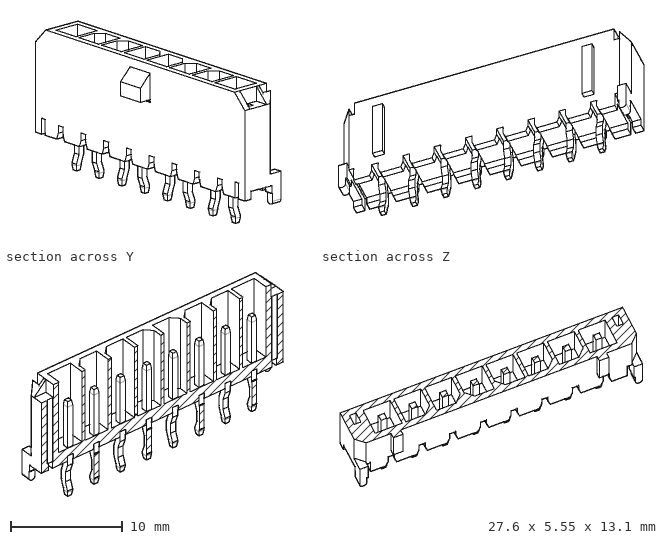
import cadquery as cq

BODY_LENGTH = 27.65
BODY_DEPTH = 3.9
BODY_HEIGHT = 9.9
REAR_REACH = 0.5

CAVITY_KEYS = (0, -1, -1, 1, 1, -1, -1, 0)
PIN_SPAN = 21.01
PIN_PITCH = PIN_SPAN / (len(CAVITY_KEYS) - 1)
PIN_Y = BODY_DEPTH / 2
PIN_SIZE = 0.6
PIN_TIP_SIZE = 0.45
PIN_TOP = 7.2
PIN_BOTTOM = -3.18
PIN_TAPER = 0.53
PIN_KINK = 0.3
KINK_LEVELS = (0.25, -0.6, -1.65, -2.52)
CAVITY_SIZE = 2.6
CAVITY_FLOOR = 2.2
CAVITY_CHAMFER = 0.72

END_LENGTH = 1.35
END_SLOPE_HEIGHT = 1.4
END_FLOOR = BODY_HEIGHT - END_SLOPE_HEIGHT
POCKET_FRONT = 0.64
POCKET_DEPTH = 2.02
WINDOW_LENGTH = 0.6
WINDOW_DEPTH = 1.0
WINDOW_INSET = 0.05
CORNER_CHAMFER = 0.83
REAR_NOTCH_LENGTH = END_LENGTH - CORNER_CHAMFER
REAR_NOTCH_DEPTH = 0.95
SLOT_OFFSET = 0.83
SLOT_WIDTH = 0.45
SLOT_HEIGHT = 1.5

FRONT_FOOT_DEPTH = 0.77
REAR_FOOT_DEPTH = 0.6
CHANNEL_HEIGHT = 0.75
PIN_NOTCH_BOTTOM = 1.02
PIN_NOTCH_HEIGHT = 1.33
PIN_NOTCH_FLARE = 0.6

PEG_TOP = 1.88
PEG_BOTTOM = -1.08
PEG_WIDTH = 0.7
PEG_DEPTH = 1.02
RIB_X = 10.06
RIB_WIDTH = 0.97
RIB_BOTTOM = 2.2
RIB_TOP = 8.25

LATCH_WIDTH = 2.63
LATCH_REACH = 1.15
LATCH_BOTTOM = 6.58
LATCH_NOSE_TOP = 7.9
LATCH_TOP = 9.07
LATCH_RELIEF_HEIGHT = 0.25
LATCH_RELIEF_DEPTH = 0.25

END_X = BODY_LENGTH / 2
REAR_Y = BODY_DEPTH + REAR_REACH


def block(x_range, y_range, z_range):
    """Box filling the given coordinate ranges."""
    sizes = [high - low for low, high in (x_range, y_range, z_range)]
    corner = (x_range[0], y_range[0], z_range[0])
    return cq.Workplane("XY").box(*sizes, centered=False).translate(corner)


def extrude_y(points, y_front, y_rear):
    """Prism along y from an outline of (x, z) points."""
    sketch = cq.Workplane("XZ", origin=(0, y_front, 0)).polyline(points).close()
    return sketch.extrude(y_front - y_rear)


def extrude_x(points, x_middle, width):
    """Prism along x, centred on x_middle, from an outline of (y, z) points."""
    sketch = cq.Workplane("YZ", origin=(x_middle, 0, 0)).polyline(points).close()
    return sketch.extrude(width / 2, both=True)


def body_shell():
    """Block with sloped upper ends."""
    shoulder = END_X - END_LENGTH
    outline = [
        (-END_X, 0),
        (END_X, 0),
        (END_X, END_FLOOR),
        (shoulder, BODY_HEIGHT),
        (-shoulder, BODY_HEIGHT),
        (-END_X, END_FLOOR),
    ]
    return extrude_y(outline, 0, BODY_DEPTH)


def left_end_cuts():
    """Pocket, window, rear notch and rear corner chamfer of the left end."""
    inner = -END_X + END_LENGTH
    pocket = block(
        (-END_X, inner),
        (POCKET_FRONT, POCKET_FRONT + POCKET_DEPTH),
        (END_FLOOR, BODY_HEIGHT),
    )
    window = block(
        (inner - WINDOW_INSET - WINDOW_LENGTH, inner - WINDOW_INSET),
        (POCKET_FRONT, POCKET_FRONT + WINDOW_DEPTH),
        (SLOT_HEIGHT, BODY_HEIGHT),
    )
    rear_notch = block(
        (inner - REAR_NOTCH_LENGTH, inner),
        (BODY_DEPTH - REAR_NOTCH_DEPTH, BODY_DEPTH),
        (END_FLOOR, BODY_HEIGHT),
    )
    corner = (
        cq.Workplane("XY", origin=(0, 0, PEG_TOP))
        .moveTo(-END_X, BODY_DEPTH)
        .lineTo(-END_X + CORNER_CHAMFER, BODY_DEPTH)
        .lineTo(-END_X, BODY_DEPTH - CORNER_CHAMFER)
        .close()
        .extrude(BODY_HEIGHT - PEG_TOP)
    )
    return pocket.union(window).union(rear_notch).union(corner)


def left_slot():
    """Slot through the whole depth that frees the peg from the housing."""
    left = -END_X + SLOT_OFFSET
    return block((left, left + SLOT_WIDTH), (0, REAR_Y), (0, SLOT_HEIGHT))


def left_peg():
    """Rear mounting peg with a round end, widened above the board line."""
    root = block((-END_X, -END_X + SLOT_OFFSET), (BODY_DEPTH, REAR_Y), (0, PEG_TOP))
    radius = PEG_WIDTH / 2
    peg = (
        cq.Workplane("XZ", origin=(0, REAR_Y, 0))
        .moveTo(-END_X, 0)
        .lineTo(-END_X, PEG_BOTTOM + radius)
        .threePointArc((-END_X + radius, PEG_BOTTOM), (-END_X + PEG_WIDTH, PEG_BOTTOM + radius))
        .lineTo(-END_X + PEG_WIDTH, 0)
        .close()
        .extrude(PEG_DEPTH)
    )
    return root.union(peg)


def on_both_ends(shape):
    """The shape together with its mirror image at the right end."""
    return shape.union(shape.mirror("YZ"))


def rear_rib(x):
    """Upright rib on the rear wall."""
    return block((x - RIB_WIDTH / 2, x + RIB_WIDTH / 2), (BODY_DEPTH, REAR_Y), (RIB_BOTTOM, RIB_TOP))


def latch():
    """Front latch with a sloped lead-in."""
    profile = [
        (0, LATCH_BOTTOM),
        (-LATCH_REACH, LATCH_BOTTOM),
        (-LATCH_REACH, LATCH_NOSE_TOP),
        (0, LATCH_TOP),
    ]
    return extrude_x(profile, 0, LATCH_WIDTH)


def latch_relief():
    """Shallow groove in the front wall just below the latch."""
    half = LATCH_WIDTH / 2
    return block(
        (-half, half),
        (0, LATCH_RELIEF_DEPTH),
        (LATCH_BOTTOM - LATCH_RELIEF_HEIGHT, LATCH_BOTTOM),
    )


def cavity(x, key):
    """Square contact cavity, one rear corner chamfered when key is not zero."""
    depth = BODY_HEIGHT - CAVITY_FLOOR
    box = (
        cq.Workplane("XY", origin=(x, PIN_Y, CAVITY_FLOOR))
        .rect(CAVITY_SIZE, CAVITY_SIZE)
        .extrude(depth)
    )
    if key:
        side = ">X" if key > 0 else "<X"
        box = box.edges("|Z").edges(">Y").edges(side).chamfer(CAVITY_CHAMFER)
    return box


def pin_notch(x):
    """Opening under a contact, flared towards the bottom."""
    outline = [
        (x - PIN_NOTCH_BOTTOM / 2, 0),
        (x + PIN_NOTCH_BOTTOM / 2, 0),
        (x + PIN_SIZE / 2, PIN_NOTCH_FLARE),
        (x + PIN_SIZE / 2, PIN_NOTCH_HEIGHT),
        (x - PIN_SIZE / 2, PIN_NOTCH_HEIGHT),
        (x - PIN_SIZE / 2, PIN_NOTCH_FLARE),
    ]
    return extrude_y(outline, 0, BODY_DEPTH)


def pin_taper(x, z_base, height):
    """Four-sided taper at the end of a contact; a negative height points it down."""
    return (
        cq.Workplane("XY", origin=(x, PIN_Y, z_base))
        .rect(PIN_SIZE, PIN_SIZE)
        .workplane(offset=height)
        .rect(PIN_TIP_SIZE, PIN_TIP_SIZE)
        .loft()
    )


def pin(x, direction):
    """Square contact whose solder tail is kinked along y in the given direction."""
    offset = direction * PIN_KINK
    tip_base = PIN_BOTTOM + PIN_TAPER
    top_base = PIN_TOP - PIN_TAPER
    kink_start, offset_start, offset_end, kink_end = KINK_LEVELS
    path = [
        (PIN_Y, top_base),
        (PIN_Y, kink_start),
        (PIN_Y + offset, offset_start),
        (PIN_Y + offset, offset_end),
        (PIN_Y, kink_end),
        (PIN_Y, tip_base),
    ]
    half = PIN_SIZE / 2
    front_side = [(y - half, z) for y, z in path]
    rear_side = [(y + half, z) for y, z in reversed(path)]
    shaft = extrude_x(front_side + rear_side, x, PIN_SIZE)
    return shaft.union(pin_taper(x, tip_base, -PIN_TAPER)).union(pin_taper(x, top_base, PIN_TAPER))


under_channel = block(
    (-END_X, END_X),
    (FRONT_FOOT_DEPTH, BODY_DEPTH - REAR_FOOT_DEPTH),
    (0, CHANNEL_HEIGHT),
)
result = (
    body_shell()
    .cut(on_both_ends(left_end_cuts()))
    .cut(under_channel)
    .cut(latch_relief())
    .union(latch())
    .union(on_both_ends(left_peg()))
    .cut(on_both_ends(left_slot()))
)
for rib_x in (-RIB_X, RIB_X):
    result = result.union(rear_rib(rib_x))

for index, key in enumerate(CAVITY_KEYS):
    pin_x = index * PIN_PITCH - PIN_SPAN / 2
    kink_direction = 1 if index % 2 == 0 else -1
    result = result.cut(cavity(pin_x, key)).cut(pin_notch(pin_x)).union(pin(pin_x, kink_direction))